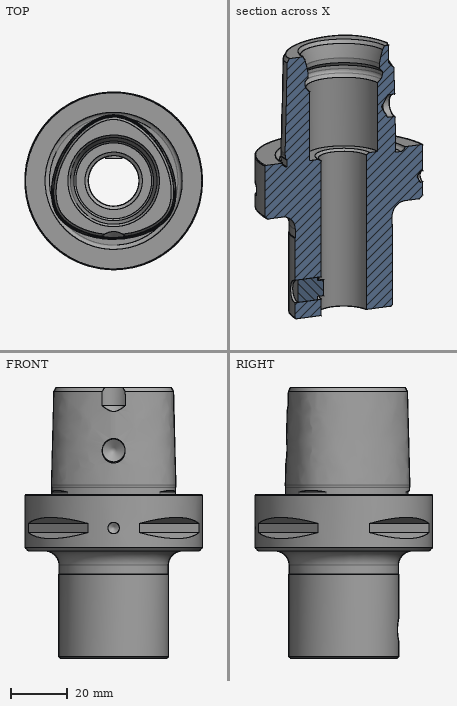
import cadquery as cq
import math

TOTAL_HEIGHT = 96.0
FLANGE_DIAMETER = 63.0
FLANGE_RADIUS = FLANGE_DIAMETER / 2
FLANGE_TOP = 58.0
FLANGE_THICKNESS = 20.0
FLANGE_BOTTOM = FLANGE_TOP - FLANGE_THICKNESS
FLANGE_TOP_CHAMFER = 0.3
FLANGE_BOTTOM_CHAMFER = 1.2

SHANK_RADIUS = 19.5
SHANK_TOP = 29.8
SHANK_END_CHAMFER = 0.7
NECK_STEP = 0.1
NECK_STEP_RISE = 0.2
NECK_RADIUS = SHANK_RADIUS - NECK_STEP
NECK_FILLET = 5.0

LOBE_HEIGHT = 1.3
LOBE_COUNT = 3
LOBE_CURVE_POINTS = 48
COUPLING_BASE = 61.3
COUPLING_BASE_RADIUS = 22.1
COUPLING_TAPER = 1 / 40
COUPLING_CHAMFER = 0.9
COUPLING_CHAMFER_HEIGHT = 1.5
COUPLING_SHOULDER = TOTAL_HEIGHT - COUPLING_CHAMFER_HEIGHT
COUPLING_TOP_RADIUS = COUPLING_BASE_RADIUS - COUPLING_TAPER * (COUPLING_SHOULDER - COUPLING_BASE)
FOOT_TOP = 60.5
FOOT_RADIUS = COUPLING_BASE_RADIUS - 0.1

RELIEF_OUTER_RADIUS = 24.3
RELIEF_INNER_RADIUS = 22.8
RELIEF_FILLET = RELIEF_OUTER_RADIUS - RELIEF_INNER_RADIUS
RELIEF_FLOOR = FLANGE_TOP - RELIEF_FILLET
LOBE_CLIP_HEIGHT = 58.9

MOUTH_RADIUS = 16.2
MOUTH_CHAMFER_RADIUS = 15.4
MOUTH_CHAMFER_BOTTOM = 94.7
THROAT_RADIUS = 14.1
THROAT_TOP = 89.7
THROAT_BOTTOM = 87.9
GROOVE_RADIUS = 15.3
GROOVE_TOP = 86.7
GROOVE_FILLET = 2.0
GROOVE_LEDGE_ANGLE = math.radians(45)
SOCKET_RADIUS = 13.4
SOCKET_TOP = 82.8
SOCKET_FLOOR = 57.6
BORE_RADIUS = 8.9
BORE_CHAMFER = 1.2
BORE_CHAMFER_HEIGHT = 0.8

NOTCH_RADIUS = 5.8
NOTCH_AXIS_Y = -23.7
NOTCH_BOTTOM = 89.6

DRILL_TIP_ANGLE = math.radians(118)
SIDE_HOLE_RADIUS = 4.0
SIDE_HOLE_HEIGHT = 73.6
SIDE_HOLE_DEPTH = 2.9
SIDE_HOLE_CHAMFER = 0.3
MARK_HOLE_RADIUS = 2.0
MARK_HOLE_DEPTH = 1.0

POCKET_HEIGHT = 46.2
POCKET_FLAT = 3.2
POCKET_FLAT_DISTANCE = 27.7
POCKET_FLANK_ANGLE = math.radians(30)
POCKET_DIRECTIONS = (45, 135, 225, 315)

SCREW_HEIGHT = 10.2
SCREW_RADIUS = 4.0
SCREW_TIP_RADIUS = 3.0
SCREW_TIP_LENGTH = 2.4
SCREW_INNER_END = 7.9
SCREW_OUTER_END = 18.2
SCREW_SHOULDER = SCREW_INNER_END + SCREW_TIP_LENGTH

CLEARANCE = 1.0


def revolved(profile):
    """Solid of revolution about Z of a profile drawn as (radius, height)."""
    return profile.close().revolve(360, (0, 0, 0), (0, 1, 0))


def y_cylinder(radius, start, end):
    """Cylinder along Y on the axis of the clamping screw."""
    return cq.Workplane("XZ", origin=(0, start, SCREW_HEIGHT)).circle(radius).extrude(start - end)


def lobed_wire(mean_radius, height):
    """Closed three-lobed curve, given by the distance from the axis to its tangent in each direction."""

    def point(angle):
        reach = mean_radius - LOBE_HEIGHT * math.cos(LOBE_COUNT * angle)
        slope = LOBE_COUNT * LOBE_HEIGHT * math.sin(LOBE_COUNT * angle)
        x = reach * math.sin(angle) + slope * math.cos(angle)
        y = slope * math.sin(angle) - reach * math.cos(angle)
        return cq.Vector(x, y, height)

    points = [point(2 * math.pi * i / LOBE_CURVE_POINTS) for i in range(LOBE_CURVE_POINTS)]
    return cq.Wire.assembleEdges([cq.Edge.makeSpline(points, periodic=True)])


def make_shank_and_flange():
    profile = (
        cq.Workplane("XZ")
        .moveTo(0, 0)
        .lineTo(SHANK_RADIUS - SHANK_END_CHAMFER, 0)
        .lineTo(SHANK_RADIUS, SHANK_END_CHAMFER)
        .lineTo(SHANK_RADIUS, SHANK_TOP)
        .lineTo(NECK_RADIUS, SHANK_TOP + NECK_STEP_RISE)
        .lineTo(NECK_RADIUS, FLANGE_BOTTOM - NECK_FILLET)
        .radiusArc((NECK_RADIUS + NECK_FILLET, FLANGE_BOTTOM), NECK_FILLET)
        .lineTo(FLANGE_RADIUS - FLANGE_BOTTOM_CHAMFER, FLANGE_BOTTOM)
        .lineTo(FLANGE_RADIUS, FLANGE_BOTTOM + FLANGE_BOTTOM_CHAMFER)
        .lineTo(FLANGE_RADIUS, FLANGE_TOP - FLANGE_TOP_CHAMFER)
        .lineTo(FLANGE_RADIUS - FLANGE_TOP_CHAMFER, FLANGE_TOP)
        .lineTo(RELIEF_OUTER_RADIUS, FLANGE_TOP)
        .radiusArc((RELIEF_INNER_RADIUS, RELIEF_FLOOR), RELIEF_FILLET)
        .lineTo(0, RELIEF_FLOOR)
    )
    return revolved(profile)


def make_lobe_clip():
    """Ring that trims the feet of the lobes to a circle, with a 45 degree run-out above."""
    profile = (
        cq.Workplane("XZ")
        .moveTo(RELIEF_INNER_RADIUS, RELIEF_FLOOR)
        .lineTo(RELIEF_OUTER_RADIUS, RELIEF_FLOOR)
        .lineTo(RELIEF_OUTER_RADIUS, LOBE_CLIP_HEIGHT + RELIEF_FILLET)
        .lineTo(RELIEF_INNER_RADIUS, LOBE_CLIP_HEIGHT)
    )
    return revolved(profile)


def make_coupling():
    sections = [
        (FOOT_RADIUS, RELIEF_FLOOR),
        (FOOT_RADIUS, FOOT_TOP),
        (COUPLING_BASE_RADIUS, COUPLING_BASE),
        (COUPLING_TOP_RADIUS, COUPLING_SHOULDER),
        (COUPLING_TOP_RADIUS - COUPLING_CHAMFER, TOTAL_HEIGHT),
    ]
    wires = [lobed_wire(radius, height) for radius, height in sections]
    coupling = cq.Workplane(cq.Solid.makeLoft(wires, True))
    return coupling.cut(make_lobe_clip())


def make_bore():
    ledge_radius = GROOVE_RADIUS - GROOVE_FILLET * (1 - math.sin(GROOVE_LEDGE_ANGLE))
    ledge_top = SOCKET_TOP + (ledge_radius - SOCKET_RADIUS) * math.tan(GROOVE_LEDGE_ANGLE)
    fillet_top = ledge_top + GROOVE_FILLET * math.cos(GROOVE_LEDGE_ANGLE)
    profile = (
        cq.Workplane("XZ")
        .moveTo(0, 0)
        .lineTo(BORE_RADIUS, 0)
        .lineTo(BORE_RADIUS, SOCKET_FLOOR - BORE_CHAMFER_HEIGHT)
        .lineTo(BORE_RADIUS + BORE_CHAMFER, SOCKET_FLOOR)
        .lineTo(SOCKET_RADIUS, SOCKET_FLOOR)
        .lineTo(SOCKET_RADIUS, SOCKET_TOP)
        .lineTo(ledge_radius, ledge_top)
        .radiusArc((GROOVE_RADIUS, fillet_top), -GROOVE_FILLET)
        .lineTo(GROOVE_RADIUS, GROOVE_TOP)
        .lineTo(THROAT_RADIUS, THROAT_BOTTOM)
        .lineTo(THROAT_RADIUS, THROAT_TOP)
        .lineTo(MOUTH_CHAMFER_RADIUS, MOUTH_CHAMFER_BOTTOM)
        .lineTo(MOUTH_RADIUS, TOTAL_HEIGHT)
        .lineTo(0, TOTAL_HEIGHT)
    )
    return revolved(profile)


def make_notch():
    """Upright round cutter with a 45 degree conical end."""
    profile = (
        cq.Workplane("XZ")
        .moveTo(0, NOTCH_BOTTOM - NOTCH_RADIUS)
        .lineTo(NOTCH_RADIUS, NOTCH_BOTTOM)
        .lineTo(NOTCH_RADIUS, TOTAL_HEIGHT)
        .lineTo(0, TOTAL_HEIGHT)
    )
    return revolved(profile).translate((0, NOTCH_AXIS_Y, 0))


def make_drilled_hole(radius, depth, height, surface_y):
    """Blind hole drilled along +Y from the surface, with a conical end."""
    tip_length = radius / math.tan(DRILL_TIP_ANGLE / 2)
    profile = (
        cq.Workplane("XY")
        .moveTo(0, surface_y - CLEARANCE)
        .lineTo(radius, surface_y - CLEARANCE)
        .lineTo(radius, surface_y + depth)
        .lineTo(0, surface_y + depth + tip_length)
    )
    return revolved(profile).translate((0, 0, height))


def make_countersink(radius, chamfer, height, surface_y):
    """45 degree cone that breaks the edge of a hole along Y."""
    profile = (
        cq.Workplane("XY")
        .moveTo(0, surface_y - CLEARANCE)
        .lineTo(radius + chamfer + CLEARANCE, surface_y - CLEARANCE)
        .lineTo(radius, surface_y + chamfer)
        .lineTo(0, surface_y + chamfer)
    )
    return revolved(profile).translate((0, 0, height))


def make_pocket(direction):
    """Straight trapezoidal groove across the flange rim, facing the given direction in degrees."""
    outer_distance = FLANGE_RADIUS + CLEARANCE
    half_flat = POCKET_FLAT / 2
    half_mouth = half_flat + (outer_distance - POCKET_FLAT_DISTANCE) * math.tan(POCKET_FLANK_ANGLE)
    corners = [
        (POCKET_FLAT_DISTANCE, -half_flat),
        (outer_distance, -half_mouth),
        (outer_distance, half_mouth),
        (POCKET_FLAT_DISTANCE, half_flat),
    ]
    groove = (
        cq.Workplane("XZ", origin=(0, FLANGE_RADIUS, POCKET_HEIGHT))
        .polyline(corners)
        .close()
        .extrude(FLANGE_DIAMETER)
    )
    return groove.rotate((0, 0, 0), (0, 0, 1), direction)


def make_holder():
    holder = make_shank_and_flange().union(make_coupling())
    holder = holder.cut(make_bore()).cut(make_notch())

    side_radius = COUPLING_BASE_RADIUS - COUPLING_TAPER * (SIDE_HOLE_HEIGHT - COUPLING_BASE)
    side_y = LOBE_HEIGHT - side_radius
    holder = holder.cut(make_drilled_hole(SIDE_HOLE_RADIUS, SIDE_HOLE_DEPTH, SIDE_HOLE_HEIGHT, side_y))
    holder = holder.cut(make_countersink(SIDE_HOLE_RADIUS, SIDE_HOLE_CHAMFER, SIDE_HOLE_HEIGHT, side_y))
    holder = holder.cut(make_drilled_hole(MARK_HOLE_RADIUS, MARK_HOLE_DEPTH, POCKET_HEIGHT, -FLANGE_RADIUS))

    for direction in POCKET_DIRECTIONS:
        holder = holder.cut(make_pocket(direction))

    return holder.cut(y_cylinder(SCREW_RADIUS, 0, FLANGE_RADIUS))


def make_screw():
    tip = y_cylinder(SCREW_TIP_RADIUS, SCREW_INNER_END, SCREW_SHOULDER)
    return tip.union(y_cylinder(SCREW_RADIUS, SCREW_SHOULDER, SCREW_OUTER_END))


holder = make_holder()
screw = make_screw()
result = cq.Compound.makeCompound([holder.val(), screw.val()])